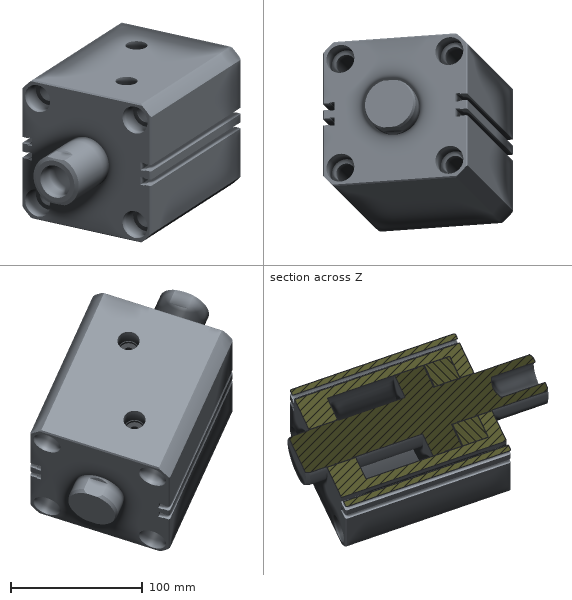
import cadquery as cq
import math

block_side = 114.0
block_length = 136.0
corner_flat = 9.0
end_chamfer = 1.0

mount_offset = 43.0
mount_hole_diameter = 15.0
counterbore_diameter = 22.0
counterbore_depth = 16.0

slot_offset = 6.0
slot_mouth_width = 5.2
slot_inner_width = 6.5
slot_lip = 5.5
slot_depth = 9.2

port_x = 15.0
port_end_distance = 35.0
port_thread_diameter = 16.8
port_thread_taper = 1 / 16
port_thread_depth = 12.0
port_drill_diameter = 14.5
port_drill_depth = 14.0
passage_diameter = 6.8

bore_diameter = 80.0
front_wall = 12.0
rear_wall = 24.0
cover_rear = 32.8
piston_clearance = 0.5
piston_length = 24.0

rod_diameter = 40.0
rod_front = 47.0
rod_rear = 17.0
front_chamfer_length = 1.5
front_chamfer_depth = 3.0
rear_chamfer_length = 3.0
rear_chamfer_depth = 1.0
flat_width_across = 37.0
flat_length = 14.0
thread_hole_diameter = 26.2
thread_hole_depth = 36.0
drill_point_angle = 118.0

half_side = block_side / 2
rod_radius = rod_diameter / 2
flat_height = flat_width_across / 2
bore_radius = bore_diameter / 2
piston_front = cover_rear + piston_clearance
rod_start = -rod_front
rod_end = block_length + rod_rear


def cylinder(diameter, y_start, y_end, x=0.0, z=0.0):
    """Cylinder parallel to Y between two Y positions."""
    start = cq.Vector(x, y_start, z)
    return cq.Workplane(cq.Solid.makeCylinder(diameter / 2, y_end - y_start, start, cq.Vector(0, 1, 0)))


def make_block():
    """Square block with chamfered end edges and corners rounded about the axis."""
    block = cq.Workplane().box(block_side, block_length, block_side).translate((0, block_length / 2, 0))
    block = block.faces("<Y or >Y").edges().chamfer(end_chamfer)
    corner_diameter = 2 * math.hypot(half_side, half_side - corner_flat)
    return block.intersect(cylinder(corner_diameter, 0, block_length))


def make_slot(side, z):
    """Cutter for one undercut slot; side is -1 or 1 along X."""
    mouth = cq.Workplane().box(slot_lip, block_length, slot_mouth_width)
    mouth = mouth.translate((side * (half_side - slot_lip / 2), block_length / 2, z))
    inner_depth = slot_depth - slot_lip
    inner = cq.Workplane().box(inner_depth, block_length, slot_inner_width)
    inner = inner.translate((side * (half_side - slot_lip - inner_depth / 2), block_length / 2, z))
    return mouth.union(inner)


def make_mount_hole(x, z):
    """Cutter for one through hole counterbored from both ends."""
    hole = cylinder(mount_hole_diameter, 0, block_length, x, z)
    front_counterbore = cylinder(counterbore_diameter, 0, counterbore_depth, x, z)
    rear_counterbore = cylinder(counterbore_diameter, block_length - counterbore_depth, block_length, x, z)
    return hole.union(front_counterbore).union(rear_counterbore)


def make_port(x, y):
    """Cutter for one port: taper thread, deeper tapping drill and a passage to the bore."""
    mouth = cq.Workplane("XY", origin=(x, y, half_side))
    taper_angle = math.degrees(math.atan(port_thread_taper / 2))
    thread = mouth.circle(port_thread_diameter / 2).extrude(-port_thread_depth, taper=taper_angle)
    drill = mouth.circle(port_drill_diameter / 2).extrude(-port_drill_depth)
    passage = mouth.circle(passage_diameter / 2).extrude(-half_side)
    return thread.union(drill).union(passage)


def make_housing():
    """Block with sensor slots, mounting holes, rod passage, bore and two ports."""
    housing = make_block()
    for side in (-1, 1):
        for z in (-slot_offset, slot_offset):
            housing = housing.cut(make_slot(side, z))
    for x in (-mount_offset, mount_offset):
        for z in (-mount_offset, mount_offset):
            housing = housing.cut(make_mount_hole(x, z))
    housing = housing.cut(cylinder(rod_diameter, 0, block_length))
    housing = housing.cut(cylinder(bore_diameter, front_wall, block_length - rear_wall))
    housing = housing.cut(make_port(port_x, port_end_distance))
    housing = housing.cut(make_port(-port_x, block_length - port_end_distance))
    return housing


def make_cover():
    """Guide ring that fills the front of the bore around the rod."""
    return cylinder(bore_diameter, front_wall, cover_rear).cut(cylinder(rod_diameter, front_wall, cover_rear))


def make_rod_blank():
    """Rod, piston and threaded hole as one turned profile of (radius, Y) points."""
    piston_rear = piston_front + piston_length
    hole_radius = thread_hole_diameter / 2
    hole_floor = rod_start + thread_hole_depth
    hole_tip = hole_floor + hole_radius / math.tan(math.radians(drill_point_angle / 2))
    profile = [
        (0, hole_tip),
        (hole_radius, hole_floor),
        (hole_radius, rod_start),
        (rod_radius - front_chamfer_depth, rod_start),
        (rod_radius, rod_start + front_chamfer_length),
        (rod_radius, piston_front),
        (bore_radius, piston_front),
        (bore_radius, piston_rear),
        (rod_radius, piston_rear),
        (rod_radius, rod_end - rear_chamfer_length),
        (rod_radius - rear_chamfer_depth, rod_end),
        (0, rod_end),
    ]
    return cq.Workplane("XY").polyline(profile).close().revolve(360, (0, 0), (0, 1))


def make_flat(end, inward):
    """Cutter for the wrench flat on top of one rod end, with a 45 degree run-out."""
    rise = rod_radius - flat_height
    profile = [
        (end, flat_height),
        (end + inward * flat_length, flat_height),
        (end + inward * (flat_length + rise), rod_radius),
        (end, rod_radius),
    ]
    return cq.Workplane("YZ").polyline(profile).close().extrude(rod_radius, both=True)


def make_rod():
    """Turned rod with opposite wrench flats at both ends."""
    rod = make_rod_blank()
    for end, inward in ((rod_start, 1), (rod_end, -1)):
        flat = make_flat(end, inward)
        rod = rod.cut(flat).cut(flat.mirror("XY"))
    return rod


housing = make_housing()
cover = make_cover()
rod = make_rod()

result = cq.Compound.makeCompound([housing.solids().val(), cover.solids().val(), rod.solids().val()])